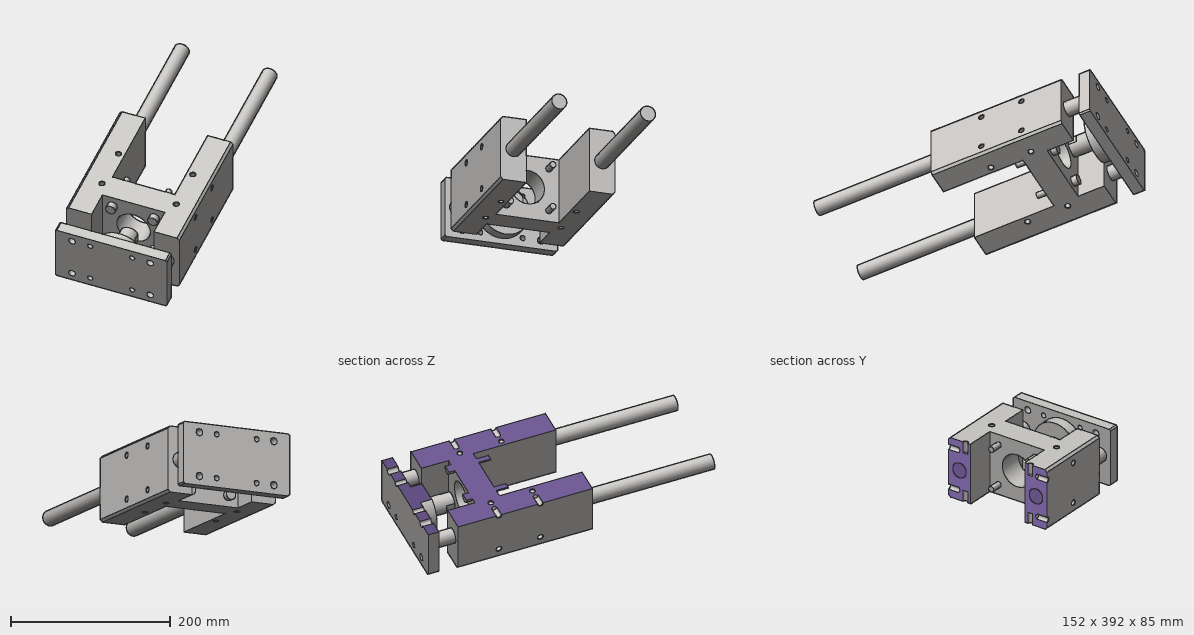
import cadquery as cq
import math


housing_width = 152.0
housing_height = 85.0
housing_front = 40.0
housing_length = 183.0
housing_chamfer = 3.0
leg_gap = 84.0
bridge_front = 77.0
bridge_thickness = 34.0
bridge_bore_diameter = 45.0

hole_pitch = 56.5

thread_diameter = 6.5
thread_mouth_diameter = 8.0
thread_depth = 15.5
drill_point_angle = 118.0
mount_hole_front = 95.5
top_hole_spacing = 100.0

screw_head_diameter = 13.0
screw_head_length = 8.0
screw_shank_diameter = 8.0
screw_tip_length = 16.0

plate_width = 150.0
plate_height = 80.0
plate_thickness = 15.0
plate_corner_chamfer = 2.0
plate_outer_hole_diameter = 9.0
plate_outer_hole_spacing = 105.0
plate_inner_hole_diameter = 6.5

rod_diameter = 20.0
rod_spacing = 118.0
rod_end = 392.0

flange_diameter = 65.0
flange_end = 30.0
hub_diameter = 25.0
hub_end = 63.0
hub_flat_start = 51.7
hub_across_flats = 22.5

bridge_back = bridge_front + bridge_thickness
housing_back = housing_front + housing_length

QUADRANTS = [(-1, -1), (-1, 1), (1, -1), (1, 1)]


def cylinder_y(diameter, start, end, x=0, z=0):
    """Cylinder along Y between two Y positions."""
    return cq.Workplane(
        cq.Solid.makeCylinder(diameter / 2, end - start, cq.Vector(x, start, z), cq.Vector(0, 1, 0))
    )


def box_y(width, height, start, end):
    """Box centred on X and Z between two Y positions."""
    return cq.Workplane("XY").box(width, end - start, height).translate((0, (start + end) / 2, 0))


def symmetric_points(x_spacing, z_spacing):
    """Four points symmetric about X = 0 and Z = 0."""
    return [(x_side * x_spacing / 2, z_side * z_spacing / 2) for x_side, z_side in QUADRANTS]


def threaded_hole(entry, direction):
    """Cutter for a blind flat-bottomed hole with a 90 degree countersink at its mouth."""
    sink_depth = (thread_mouth_diameter - thread_diameter) / 2
    drill = cq.Solid.makeCylinder(thread_diameter / 2, thread_depth, entry, direction)
    sink = cq.Solid.makeCone(thread_mouth_diameter / 2, thread_diameter / 2, sink_depth, entry, direction)
    return cq.Workplane(drill.fuse(sink))


def drill_point(entry, direction):
    """Cutter for the conical end left by the drill at the bottom of a threaded hole."""
    point_length = thread_diameter / 2 / math.tan(math.radians(drill_point_angle / 2))
    bottom = entry + direction * thread_depth
    return cq.Workplane(cq.Solid.makeCone(thread_diameter / 2, 0, point_length, bottom, direction))


def make_housing():
    """H-shaped block with its bores, mounting holes and bridge screws, as one solid."""
    body = box_y(housing_width, housing_height, housing_front, housing_back)
    body = body.edges("|Y").chamfer(housing_chamfer)
    body = body.cut(box_y(leg_gap, housing_height, housing_front, bridge_front))
    body = body.cut(box_y(leg_gap, housing_height, bridge_back, housing_back))
    body = body.cut(cylinder_y(bridge_bore_diameter, bridge_front, bridge_back))

    for side in (-1, 1):
        body = body.cut(cylinder_y(rod_diameter, housing_front, housing_back, side * rod_spacing / 2))

    for y in (mount_hole_front, mount_hole_front + hole_pitch):
        for x_side, z_side in QUADRANTS:
            side_entry = cq.Vector(x_side * housing_width / 2, y, z_side * hole_pitch / 2)
            inward = cq.Vector(-x_side, 0, 0)
            body = body.cut(threaded_hole(side_entry, inward))
            body = body.cut(drill_point(side_entry, inward))

            top_entry = cq.Vector(x_side * top_hole_spacing / 2, y, z_side * housing_height / 2)
            body = body.cut(threaded_hole(top_entry, cq.Vector(0, 0, -z_side)))

    for x, z in symmetric_points(hole_pitch, hole_pitch):
        head = cylinder_y(screw_head_diameter, bridge_front - screw_head_length, bridge_front, x, z)
        tip = cylinder_y(screw_shank_diameter, bridge_back, bridge_back + screw_tip_length, x, z)
        body = body.union(head).union(tip)
    return body


def make_slide():
    """Plate with its two guide rods and the coupling, as one solid."""
    body = box_y(plate_width, plate_height, 0, plate_thickness)
    body = body.edges("|Y").chamfer(plate_corner_chamfer)
    for x, z in symmetric_points(plate_outer_hole_spacing, hole_pitch):
        body = body.cut(cylinder_y(plate_outer_hole_diameter, 0, plate_thickness, x, z))
    for x, z in symmetric_points(hole_pitch, hole_pitch):
        body = body.cut(cylinder_y(plate_inner_hole_diameter, 0, plate_thickness, x, z))

    body = body.union(cylinder_y(flange_diameter, plate_thickness, flange_end))
    hub = cylinder_y(hub_diameter, flange_end, hub_flat_start)
    tip = cylinder_y(hub_diameter, hub_flat_start, hub_end)
    tip = tip.intersect(box_y(hub_across_flats, hub_diameter, hub_flat_start, hub_end))
    body = body.union(hub).union(tip)

    for side in (-1, 1):
        body = body.union(cylinder_y(rod_diameter, plate_thickness, rod_end, side * rod_spacing / 2))
    return body


housing = make_housing()
slide = make_slide()

result = cq.Compound.makeCompound([housing.solids().val(), slide.solids().val()])